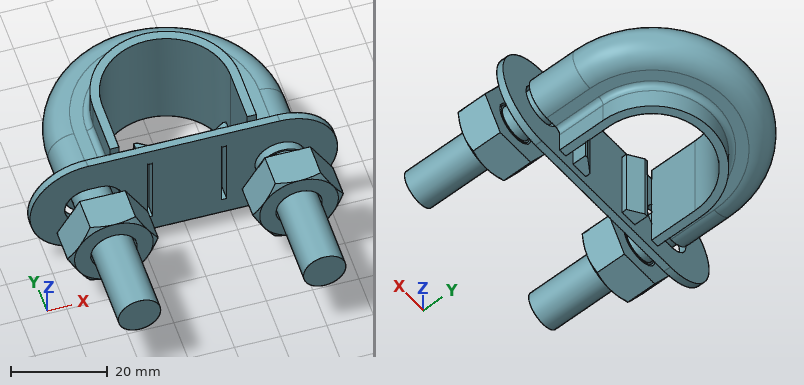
import cadquery as cq
import math


NECK_DIA = 8.4
THREAD_DIA = 9.2
LEG_OFFSET = 20.0
BOLT_END_Y = -46.1

SADDLE_WIDTH = 25.0
SADDLE_INNER_R = 13.85
SADDLE_OUTER_R = LEG_OFFSET - NECK_DIA / 2
SADDLE_END_Y = -11.7
RIDGE_R = 5.6
RIDGE_FILLET = 1.4

PLATE_LENGTH = 66.5
PLATE_HEIGHT = SADDLE_WIDTH
PLATE_TOP_Y = -13.05
PLATE_THICKNESS = 1.7
PLATE_BOTTOM_Y = PLATE_TOP_Y - PLATE_THICKNESS
PLATE_CENTER_X = -0.8
COLLAR_DIA = 10.8
COLLAR_HEIGHT = 2.0
COLLAR_BORE = 10.0
SLOT_WIDTH = 10.0
SLOT_TRAVEL = 2.4
PLATE_LEFT_ARC_X = PLATE_CENTER_X - (PLATE_LENGTH - PLATE_HEIGHT) / 2
SLOT_CENTER_X = PLATE_LEFT_ARC_X + SLOT_TRAVEL / 2

TAB_SPAN = 19.8
TAB_OUTER_OFFSET = 10.0
TAB_CENTER_X = -0.1
TAB_BASE = 4.1
TAB_HEIGHT = 3.4
TAB_LOW_HEIGHT = 1.15
TAB_CREST = 0.7
TAB_WALL = 1.4
TAB_SLOT_WIDTH = 1.1

NUT_TOP_Y = -20.1
NUT_HEIGHT = 8.0
NUT_FLATS = 17.0
NUT_BORE = 10.0
NUT_CHAMFER_ANGLE = 30


def along_y(start_y):
    """Workplane facing -Y, so that local X is X and local Y is Z."""
    return cq.Workplane("XZ", origin=(0, start_y, 0))


def bent_solid(section, end_y):
    """Carry a right-leg section at Y = 0 round the half bend and down both straight legs."""
    bend = section().revolve(180, (0, 0, 0), (0, 1, 0))
    right_leg = section().extrude(-end_y)
    left_leg = right_leg.mirror("YZ")
    return bend.union(right_leg).union(left_leg)


def neck_section():
    return along_y(0).moveTo(LEG_OFFSET, 0).circle(NECK_DIA / 2)


def make_bolt():
    bolt = bent_solid(neck_section, NUT_TOP_Y)
    for x in (-LEG_OFFSET, LEG_OFFSET):
        thread = along_y(NUT_TOP_Y).center(x, 0).circle(THREAD_DIA / 2).extrude(NUT_TOP_Y - BOLT_END_Y)
        bolt = bolt.union(thread)
    return bolt


def saddle_section():
    """Liner strip with a rounded ridge, joined by concave fillets."""
    half = SADDLE_WIDTH / 2
    blend = RIDGE_FILLET * (1 - math.sqrt(0.5))
    foot_z = RIDGE_R + RIDGE_FILLET
    foot_x = SADDLE_OUTER_R + RIDGE_FILLET
    return (
        along_y(0)
        .moveTo(SADDLE_INNER_R, -half)
        .lineTo(SADDLE_OUTER_R, -half)
        .lineTo(SADDLE_OUTER_R, -foot_z)
        .threePointArc((SADDLE_OUTER_R + blend, -RIDGE_R - blend), (foot_x, -RIDGE_R))
        .lineTo(LEG_OFFSET, -RIDGE_R)
        .threePointArc((LEG_OFFSET + RIDGE_R, 0), (LEG_OFFSET, RIDGE_R))
        .lineTo(foot_x, RIDGE_R)
        .threePointArc((SADDLE_OUTER_R + blend, RIDGE_R + blend), (SADDLE_OUTER_R, foot_z))
        .lineTo(SADDLE_OUTER_R, half)
        .lineTo(SADDLE_INNER_R, half)
        .close()
    )


def make_saddle(bolt):
    return bent_solid(saddle_section, SADDLE_END_Y).cut(bolt)


def make_tab(side):
    """Wedge with its tall side outward; side is -1 for left and +1 for right."""
    outer_x = TAB_CENTER_X + side * TAB_OUTER_OFFSET
    return (
        cq.Workplane("XY", origin=(0, 0, -TAB_SPAN / 2))
        .moveTo(outer_x, PLATE_TOP_Y)
        .lineTo(outer_x, PLATE_TOP_Y + TAB_HEIGHT)
        .lineTo(outer_x - side * TAB_CREST, PLATE_TOP_Y + TAB_HEIGHT)
        .lineTo(outer_x - side * TAB_BASE, PLATE_TOP_Y + TAB_LOW_HEIGHT)
        .lineTo(outer_x - side * TAB_BASE, PLATE_TOP_Y)
        .close()
        .extrude(TAB_SPAN)
    )


def make_tab_slot(side):
    """Opening through the plate whose floor runs parallel to the tab's slope."""
    slope = (TAB_HEIGHT - TAB_LOW_HEIGHT) / (TAB_BASE - TAB_CREST)
    outer_x = TAB_CENTER_X + side * (TAB_OUTER_OFFSET - TAB_WALL)
    inner_x = outer_x - side * TAB_SLOT_WIDTH
    deep_y = PLATE_TOP_Y + TAB_HEIGHT - TAB_WALL - slope * (TAB_WALL - TAB_CREST)
    shallow_y = deep_y - slope * TAB_SLOT_WIDTH
    length = TAB_SPAN - 2 * TAB_WALL
    return (
        cq.Workplane("XY", origin=(0, 0, -length / 2))
        .moveTo(outer_x, PLATE_BOTTOM_Y)
        .lineTo(outer_x, deep_y)
        .lineTo(inner_x, shallow_y)
        .lineTo(inner_x, PLATE_BOTTOM_Y)
        .close()
        .extrude(length)
    )


def make_plate():
    plate = along_y(PLATE_TOP_Y).center(PLATE_CENTER_X, 0).slot2D(PLATE_LENGTH, PLATE_HEIGHT)
    plate = plate.extrude(PLATE_THICKNESS)
    collar = along_y(PLATE_BOTTOM_Y).center(LEG_OFFSET, 0).circle(COLLAR_DIA / 2).extrude(COLLAR_HEIGHT)
    plate = plate.union(collar)
    for side in (-1, 1):
        plate = plate.union(make_tab(side)).cut(make_tab_slot(side))
    bore = along_y(PLATE_TOP_Y).center(LEG_OFFSET, 0).circle(COLLAR_BORE / 2)
    slot = along_y(PLATE_TOP_Y).center(SLOT_CENTER_X, 0).slot2D(SLOT_WIDTH + SLOT_TRAVEL, SLOT_WIDTH)
    through = PLATE_THICKNESS + COLLAR_HEIGHT
    return plate.cut(bore.extrude(through)).cut(slot.extrude(through))


def make_nut(x):
    """Hex nut with its outer-end corners trimmed by a cone."""
    corner_r = NUT_FLATS / math.sqrt(3)
    flat_r = NUT_FLATS / 2
    chamfer = (corner_r - flat_r) * math.tan(math.radians(NUT_CHAMFER_ANGLE))
    hexagon = along_y(0).polygon(6, 2 * corner_r).circle(NUT_BORE / 2).extrude(NUT_HEIGHT)
    envelope = (
        cq.Workplane("XY")
        .lineTo(corner_r, 0)
        .lineTo(corner_r, chamfer - NUT_HEIGHT)
        .lineTo(flat_r, -NUT_HEIGHT)
        .lineTo(0, -NUT_HEIGHT)
        .close()
        .revolve(360, (0, 0, 0), (0, 1, 0))
    )
    return hexagon.intersect(envelope).translate((x, NUT_TOP_Y, 0))


bolt = make_bolt()
saddle = make_saddle(bolt)
plate = make_plate()
nuts = [make_nut(x) for x in (-LEG_OFFSET, LEG_OFFSET)]

bodies = [bolt, saddle, plate, *nuts]
result = cq.Compound.makeCompound([body.solids().val() for body in bodies])